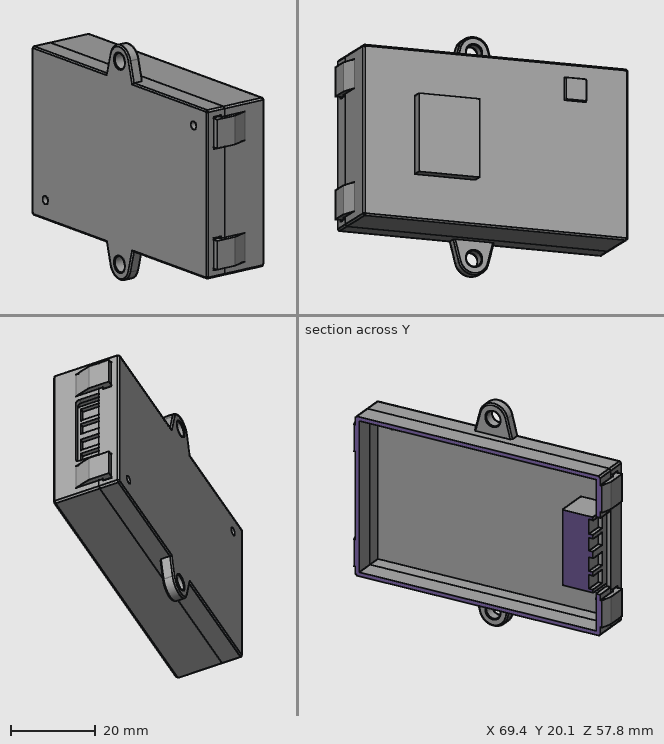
import cadquery as cq
import math

TOTAL_X = 69.4
BOX_X = 67.0
BOX_Z = 41.5
COVER_FRONT = 17.2
SEAM = 5.2
WALL = 1.2
BASE_FLOOR = 1.5
EDGE_CHAMFER = 0.45
BACK_CHAMFER = 0.38

EAR_TIP_Z = 28.9
EAR_RADIUS = 3.9
EAR_ROOT_HALF_WIDTH = 5.15
EAR_THICKNESS = 3.05
EAR_HOLE = 3.8
EAR_HOLE_CHAMFER = 0.2
EAR_CENTER_Z = EAR_TIP_Z - EAR_RADIUS

PILOT_HOLE = 2.0
PILOT_X = 28.25
PILOT_Z = 15.9

CLIP_PROUD = (TOTAL_X - BOX_X) / 2
CLIP_WIDTH = 7.1
CLIP_Z = 14.9
CLIP_PLACES = [(side, z) for side in (-1, 1) for z in (-CLIP_Z, CLIP_Z)]
CLIP_TOP = 11.3
CLIP_RAMP_END = 7.3
CLIP_FOOT = 2.0
CATCH_TOP = 4.15
CATCH_WIDTH = 8.0
CATCH_DEPTH = 0.55

SLOT_HALF_LENGTH = 9.9
SLOT_TOP = CLIP_TOP
SLOT_CORNER_RADIUS = 1.0
TERMINAL_SETBACK = 2.0
TERMINAL_LENGTH = 19.7
TERMINAL_Z = -0.15
TERMINAL_TOP = 13.2
TERMINAL_DEPTH = 8.3
POCKET_DEPTH = 1.05
POCKET_BOTTOM = 5.8
OUTER_POCKET_TOP = 10.9
INNER_POCKET_TOP = 10.95
POCKETS = [
    (5.15, 8.8, OUTER_POCKET_TOP),
    (0.75, 4.0, INNER_POCKET_TOP),
    (-4.5, -1.05, INNER_POCKET_TOP),
    (-9.1, -5.6, OUTER_POCKET_TOP),
]

BUTTON_SIZE = 5.6
BUTTON_HEIGHT = 0.6
BUTTON_TOP_INSET = 0.2
BUTTON_CORNER_RADIUS = 0.4
BUTTON_X = -20.05
BUTTON_Z = 14.5
DISPLAY_X = (5.3, 20.6)
DISPLAY_Z = (-9.7, 9.3)
DISPLAY_FRONT = 20.1


def block(x, y, z):
    """Box between the given (low, high) limits on each axis."""
    size = (x[1] - x[0], y[1] - y[0], z[1] - z[0])
    return cq.Workplane("XY").box(*size, centered=False).translate((x[0], y[0], z[0]))


def shell_blank(back, front):
    """Full-section slab of the enclosure with its edges along Y chamfered."""
    slab = block((-BOX_X / 2, BOX_X / 2), (back, front), (-BOX_Z / 2, BOX_Z / 2))
    return slab.edges("|Y").chamfer(EDGE_CHAMFER)


def cavity(back, front):
    """Inside space of the enclosure between two Y levels."""
    half_x = BOX_X / 2 - WALL
    half_z = BOX_Z / 2 - WALL
    return block((-half_x, half_x), (back, front), (-half_z, half_z))


def outward_sketch(level):
    """Workplane at the given Y that extrudes towards +Y, with local x along -X and local y along Z."""
    return cq.Workplane(cq.Plane((0, level, 0), xDir=(-1, 0, 0), normal=(0, 1, 0)))


def ear_profile_point():
    """Point where the straight flank of the upper ear runs tangent into its round end."""
    root_z = BOX_Z / 2
    dx = EAR_ROOT_HALF_WIDTH
    dz = root_z - EAR_CENTER_Z
    angle = math.atan2(dz, dx) + math.acos(EAR_RADIUS / math.hypot(dx, dz))
    return EAR_RADIUS * math.cos(angle), EAR_CENTER_Z + EAR_RADIUS * math.sin(angle)


def make_ear():
    """Upper ear, rooted inside the base, without its hole."""
    flank_x, flank_z = ear_profile_point()
    root_z = BOX_Z / 2
    inner_z = root_z - WALL
    return (
        outward_sketch(0)
        .moveTo(-EAR_ROOT_HALF_WIDTH, inner_z)
        .lineTo(EAR_ROOT_HALF_WIDTH, inner_z)
        .lineTo(EAR_ROOT_HALF_WIDTH, root_z)
        .lineTo(flank_x, flank_z)
        .threePointArc((0, EAR_TIP_Z), (-flank_x, flank_z))
        .lineTo(-EAR_ROOT_HALF_WIDTH, root_z)
        .close()
        .extrude(EAR_THICKNESS)
    )


def make_ear_hole():
    """Through hole of the upper ear, chamfered at both ends."""
    rim = EAR_HOLE / 2 + EAR_HOLE_CHAMFER
    bore = EAR_HOLE / 2
    return (
        cq.Workplane("XY")
        .polyline([
            (0, 0),
            (rim, 0),
            (bore, EAR_HOLE_CHAMFER),
            (bore, EAR_THICKNESS - EAR_HOLE_CHAMFER),
            (rim, EAR_THICKNESS),
            (0, EAR_THICKNESS),
        ])
        .close()
        .revolve(360, (0, 0), (0, 1))
        .translate((0, 0, EAR_CENTER_Z))
    )


def clip_catch(side, z):
    """Recess in the base wall around the foot of one clip."""
    outer = side * BOX_X / 2
    x = sorted((outer, outer - side * CATCH_DEPTH))
    return block(x, (CLIP_FOOT, CATCH_TOP), (z - CATCH_WIDTH / 2, z + CATCH_WIDTH / 2))


def make_clip(side, z):
    """Wedge on the wall with a foot that fills the middle of its catch."""
    outer = side * BOX_X / 2
    proud = outer + side * CLIP_PROUD
    hook = outer - side * CATCH_DEPTH
    return (
        cq.Workplane("XY", origin=(0, 0, z - CLIP_WIDTH / 2))
        .polyline([
            (outer, CLIP_TOP),
            (proud, CLIP_RAMP_END),
            (proud, CLIP_FOOT),
            (hook, CLIP_FOOT),
            (hook, CATCH_TOP),
            (outer, CATCH_TOP),
        ])
        .close()
        .extrude(CLIP_WIDTH)
    )


def make_base():
    """Shallow tray with two mounting ears, pilot holes and clip catches."""
    base = shell_blank(0, SEAM)
    ear = make_ear().faces(">Y").edges().chamfer(BACK_CHAMFER)
    base = base.union(ear).union(ear.mirror("XY"))
    base = base.faces("<Y").edges().chamfer(BACK_CHAMFER)
    base = base.cut(cavity(BASE_FLOOR, SEAM))
    hole = make_ear_hole()
    base = base.cut(hole).cut(hole.mirror("XY"))
    pilot_places = [(-PILOT_X, PILOT_Z), (PILOT_X, -PILOT_Z)]
    pilots = outward_sketch(0).pushPoints(pilot_places).circle(PILOT_HOLE / 2).extrude(BASE_FLOOR)
    base = base.cut(pilots)
    for side, z in CLIP_PLACES:
        base = base.cut(clip_catch(side, z))
    return base


def make_cover():
    """Deep hollow lid with the terminal slot and four snap clips."""
    cover = shell_blank(SEAM, COVER_FRONT).faces(">Y").edges().chamfer(EDGE_CHAMFER)
    cover = cover.cut(cavity(SEAM, COVER_FRONT - WALL))
    slot = block(
        (-BOX_X / 2, -BOX_X / 2 + WALL),
        (SEAM, SLOT_TOP),
        (-SLOT_HALF_LENGTH, SLOT_HALF_LENGTH),
    )
    cover = cover.cut(slot.edges("|X and >Y").fillet(SLOT_CORNER_RADIUS))
    for side, z in CLIP_PLACES:
        cover = cover.union(make_clip(side, z))
    return cover


def make_terminal():
    """Terminal block standing on the base floor, with a row of pockets in its outer face."""
    face_x = -BOX_X / 2 + TERMINAL_SETBACK
    terminal = block(
        (face_x, face_x + TERMINAL_DEPTH),
        (BASE_FLOOR, TERMINAL_TOP),
        (TERMINAL_Z - TERMINAL_LENGTH / 2, TERMINAL_Z + TERMINAL_LENGTH / 2),
    )
    for low_z, high_z, top in POCKETS:
        terminal = terminal.cut(
            block((face_x, face_x + POCKET_DEPTH), (POCKET_BOTTOM, top), (low_z, high_z))
        )
    return terminal


def make_button():
    """Square button standing on the cover face, with leaning sides and rounded corners."""
    lean = math.degrees(math.atan2(BUTTON_TOP_INSET, BUTTON_HEIGHT))
    button = (
        outward_sketch(COVER_FRONT)
        .center(-BUTTON_X, BUTTON_Z)
        .rect(BUTTON_SIZE, BUTTON_SIZE)
        .extrude(BUTTON_HEIGHT, taper=lean)
    )
    return button.edges("not(<Y or >Y)").fillet(BUTTON_CORNER_RADIUS)


base = make_base()
cover = make_cover()
terminal = make_terminal()
button = make_button()
display = block(DISPLAY_X, (COVER_FRONT, DISPLAY_FRONT), DISPLAY_Z)

result = cq.Compound.makeCompound(
    [base.val(), cover.val(), terminal.val(), button.val(), display.val()]
)